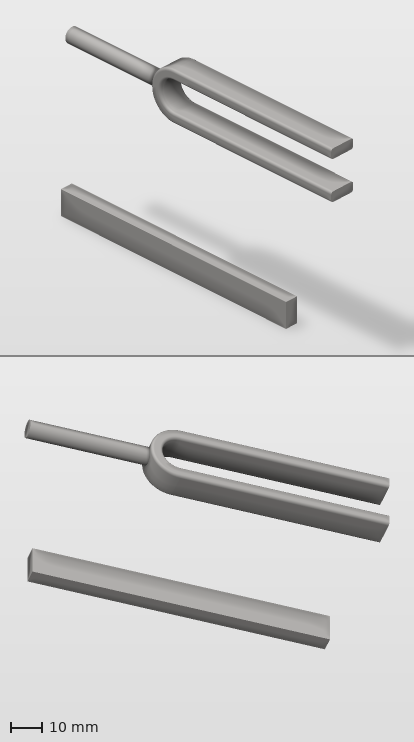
import cadquery as cq

overall_length = 120.0
fork_width = 10.0
bend_radius = 10.0
tine_thickness = 4.0
edge_fillet = 1.0
handle_diameter = 6.0
handle_length = 40.0

bar_length = 100.0
bar_width = fork_width / 2
bar_height = 10.0
overall_height = 75.0

bend_x = handle_length + bend_radius
inner_radius = bend_radius - tine_thickness
bar_bottom = bend_radius - overall_height


def u_outline(radius):
    """Solid U shape of the given bend radius, open towards +X, centred on Y = 0."""
    return (
        cq.Workplane("XZ", origin=(0, fork_width / 2, 0))
        .moveTo(overall_length, radius)
        .lineTo(bend_x, radius)
        .threePointArc((bend_x - radius, 0), (bend_x, -radius))
        .lineTo(overall_length, -radius)
        .close()
        .extrude(fork_width)
    )


def make_fork():
    """Fork with rounded long edges and a round handle joined to the bend."""
    prongs = u_outline(bend_radius).cut(u_outline(inner_radius))
    prongs = prongs.faces("<Y or >Y").edges("not(>X)").fillet(edge_fillet)
    handle = (
        cq.Workplane("YZ")
        .circle(handle_diameter / 2)
        .extrude(handle_length + tine_thickness / 2)
    )
    return prongs.union(handle)


def make_bar():
    """Plain bar flush with the -Y side of the fork and the free end of the handle."""
    return cq.Workplane("XY", origin=(0, -fork_width / 2, bar_bottom)).box(
        bar_length, bar_width, bar_height, centered=False
    )


fork = make_fork()
bar = make_bar()
result = cq.Compound.makeCompound([fork.val(), bar.val()])